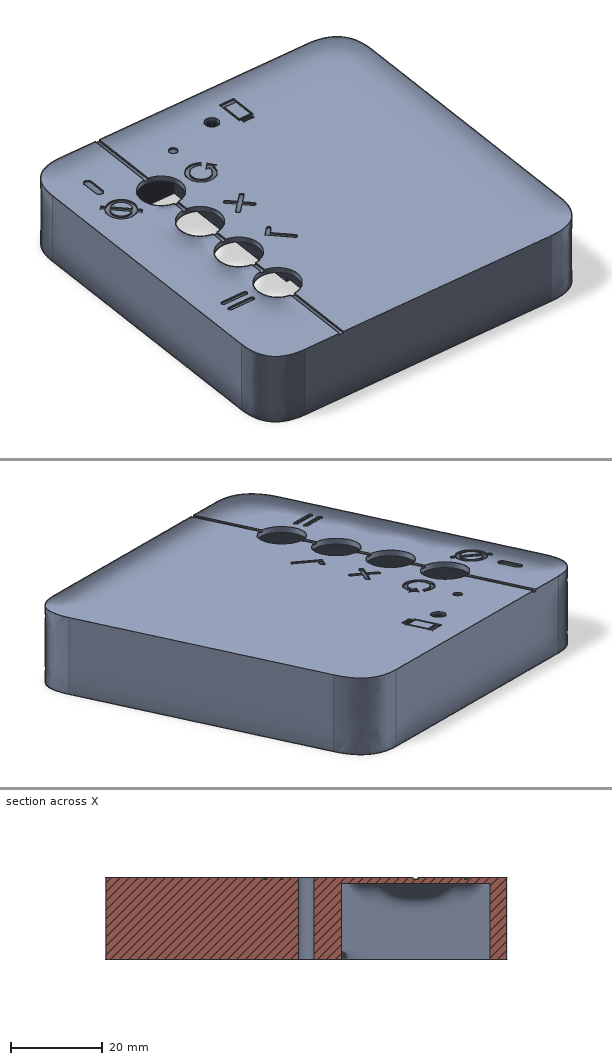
import cadquery as cq
import math

SIDE = 88.0
HEIGHT = 18.0
CORNER_REACH = 10.0
TOP = HEIGHT / 2

BUTTON_DIAMETER = 10.8
BUTTON_PITCH = 14.0
BUTTON_COUNT = 4
BUTTON_Y = -24.0
FIRST_BUTTON_X = -BUTTON_PITCH * (BUTTON_COUNT - 1) / 2
BUTTON_X = [FIRST_BUTTON_X + i * BUTTON_PITCH for i in range(BUTTON_COUNT)]

TOP_PLATE = 1.35
POCKET_LENGTH = 75.0
POCKET_BACK_Y = -7.75
POCKET_WIDTH = 2 * (POCKET_BACK_Y - BUTTON_Y)

NOTCH_START_X = 3.0
NOTCH_END_X = 25.5
NOTCH_HEIGHT = 1.25
NOTCH_REACH = 1.5

LIGHT_DIAMETER = 3.4
LIGHT_X = -34.0
LIGHT_Y = 0.0

ENGRAVING_DEPTH = 0.4
GROOVE_WIDTH = 1.1
STROKE = 1.05
UPPER_ICON_Y = BUTTON_Y + 11.0
LOWER_ICON_Y = BUTTON_Y - 11.0
RING_OUTER_DIAMETER = 7.1
RING_INNER_DIAMETER = 5.0

DOT_X = -31.0
DOT_DIAMETER = 2.1
DASH_LENGTH = 6.0
DASH_WIDTH = 1.9

PAUSE_LENGTH = 7.0
PAUSE_SPACING = 2.5

CROSS_LENGTH = 7.1
TICK_VERTEX = (-1.4, -2.0)
TICK_LONG_RUN = 4.3
TICK_SHORT_RUN = 1.5

SLASH_LENGTH = 9.2

GAP_START_ANGLE = 95.0
GAP_END_ANGLE = 142.0
ARROW_HEAD = [(-1.9, 3.1), (-0.15, 4.35), (-0.3, 1.6)]

BATTERY_LEFT_X = -38.0
BATTERY_Y = 7.1
BATTERY_LENGTH = 7.0
BATTERY_WIDTH = 3.9
BATTERY_LINE = 0.35
BATTERY_END_LINE = 1.35
TERMINAL_LENGTH = 0.8
TERMINAL_WIDTH = 2.8
TERMINAL_GAP = 0.3


def bottom_plane(x, y):
    """Workplane on the underside, centred at (x, y)."""
    return cq.Workplane("XY", origin=(x, y, -TOP))


def engraving_plane(x, y):
    """Workplane on the engraved floor, centred at (x, y)."""
    return cq.Workplane("XY", origin=(x, y, TOP - ENGRAVING_DEPTH))


def slot(x, y, length, width, angle=0.0):
    """Round-ended engraved stroke with the given overall length."""
    return engraving_plane(x, y).slot2D(length, width, angle).extrude(ENGRAVING_DEPTH)


def bar(x, y, length, width, angle=0.0):
    """Square-ended engraved stroke."""
    stroke = engraving_plane(x, y).rect(length, width).extrude(ENGRAVING_DEPTH)
    return stroke.rotate((x, y, 0), (x, y, 1), angle)


def ring(x, y):
    """Full engraved ring."""
    plane = engraving_plane(x, y)
    return plane.circle(RING_OUTER_DIAMETER / 2).circle(RING_INNER_DIAMETER / 2).extrude(ENGRAVING_DEPTH)


def box_between(x_start, x_end, y, width):
    """Engraved rectangle from x_start to x_end, centred on y."""
    return bar((x_start + x_end) / 2, y, x_end - x_start, width)


def block():
    """Square block whose corners are parabolic curves, tangent to both sides."""
    half = SIDE / 2
    straight = half - CORNER_REACH
    corners = [
        [(straight, -half), (half, -half), (half, -straight)],
        [(half, straight), (half, half), (straight, half)],
        [(-straight, half), (-half, half), (-half, straight)],
        [(-half, -straight), (-half, -half), (-straight, -half)],
    ]
    outline = bottom_plane(0, 0).moveTo(-straight, -half)
    for corner in corners:
        outline = outline.lineTo(*corner[0]).bezier(corner)
    return outline.close().extrude(HEIGHT)


def body():
    """Rounded square block with the button pocket and its notch."""
    pocket = bottom_plane(0, BUTTON_Y).rect(POCKET_LENGTH, POCKET_WIDTH).extrude(HEIGHT - TOP_PLATE)
    notch_x = (NOTCH_START_X + NOTCH_END_X) / 2
    notch_y = POCKET_BACK_Y + NOTCH_REACH / 2
    notch_length = NOTCH_END_X - NOTCH_START_X
    notch = bottom_plane(notch_x, notch_y).rect(notch_length, NOTCH_REACH).extrude(NOTCH_HEIGHT)
    return block().cut(pocket).cut(notch)


def through_holes():
    """Button holes and the indicator hole."""
    buttons = bottom_plane(0, 0).pushPoints([(x, BUTTON_Y) for x in BUTTON_X]).circle(BUTTON_DIAMETER / 2)
    light = bottom_plane(LIGHT_X, LIGHT_Y).circle(LIGHT_DIAMETER / 2)
    return buttons.extrude(HEIGHT).union(light.extrude(HEIGHT))


def turning_arrow(x, y):
    """Open ring with an arrow head at its upper end."""
    far = RING_OUTER_DIAMETER
    start = math.radians(GAP_START_ANGLE)
    end = math.radians(GAP_END_ANGLE)
    gap_points = [
        (0, 0),
        (far * math.cos(start), far * math.sin(start)),
        (far * math.cos(end), far * math.sin(end)),
    ]
    gap = engraving_plane(x, y).polyline(gap_points).close().extrude(ENGRAVING_DEPTH)
    head = engraving_plane(x, y).polyline(ARROW_HEAD).close().extrude(ENGRAVING_DEPTH)
    return ring(x, y).cut(gap).union(head)


def crossed_ring(x, y):
    """Ring with a diagonal slash."""
    return ring(x, y).union(bar(x, y, SLASH_LENGTH, STROKE, 45))


def cross(x, y):
    """Two crossing diagonal strokes."""
    return slot(x, y, CROSS_LENGTH, STROKE, 45).union(slot(x, y, CROSS_LENGTH, STROKE, -45))


def tick(x, y):
    """Check mark: two diagonal strokes meeting at a square corner."""
    vertex_x = x + TICK_VERTEX[0]
    vertex_y = y + TICK_VERTEX[1]
    mark = bar(vertex_x, vertex_y, STROKE, STROKE, 45)
    for run, direction in ((TICK_LONG_RUN, 1), (TICK_SHORT_RUN, -1)):
        length = run * math.sqrt(2) + STROKE
        arm = slot(vertex_x + direction * run / 2, vertex_y + run / 2, length, STROKE, 45 * direction)
        mark = mark.union(arm)
    return mark


def pause(x, y):
    """Two parallel upright bars."""
    left = slot(x - PAUSE_SPACING / 2, y, PAUSE_LENGTH, STROKE, 90)
    right = slot(x + PAUSE_SPACING / 2, y, PAUSE_LENGTH, STROKE, 90)
    return left.union(right)


def battery():
    """Battery outline with a thick left end and a terminal on the right."""
    right_x = BATTERY_LEFT_X + BATTERY_LENGTH
    shell = box_between(BATTERY_LEFT_X, right_x, BATTERY_Y, BATTERY_WIDTH)
    inside = box_between(
        BATTERY_LEFT_X + BATTERY_END_LINE,
        right_x - BATTERY_LINE,
        BATTERY_Y,
        BATTERY_WIDTH - 2 * BATTERY_LINE,
    )
    terminal_x = right_x + TERMINAL_GAP
    terminal = box_between(terminal_x, terminal_x + TERMINAL_LENGTH, BATTERY_Y, TERMINAL_WIDTH)
    return shell.cut(inside).union(terminal)


def engravings():
    """All the shallow cuts in the top face."""
    reload_x, cancel_x, accept_x, pause_x = BUTTON_X
    dot = engraving_plane(DOT_X, UPPER_ICON_Y).circle(DOT_DIAMETER / 2).extrude(ENGRAVING_DEPTH)
    return [
        bar(0, BUTTON_Y, SIDE, GROOVE_WIDTH),
        dot,
        slot(DOT_X, LOWER_ICON_Y, DASH_LENGTH, DASH_WIDTH),
        turning_arrow(reload_x, UPPER_ICON_Y),
        crossed_ring(reload_x, LOWER_ICON_Y),
        cross(cancel_x, UPPER_ICON_Y),
        tick(accept_x, UPPER_ICON_Y),
        pause(pause_x, LOWER_ICON_Y),
        battery(),
    ]


result = body().cut(through_holes())
for engraving in engravings():
    result = result.cut(engraving)